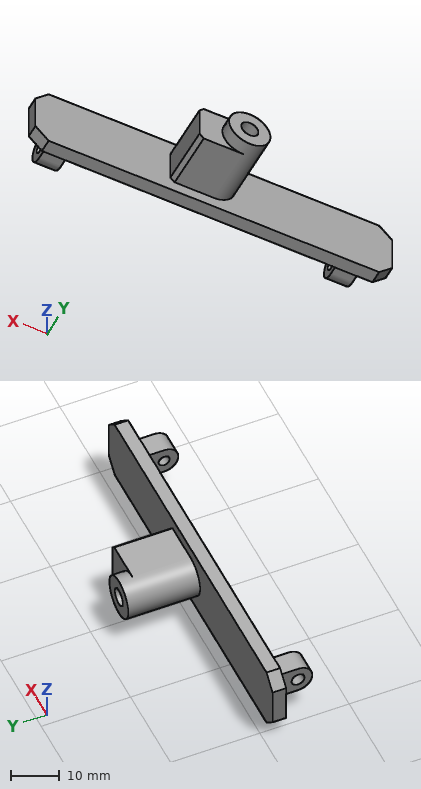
import cadquery as cq

plate_length = 82.0
plate_height = 15.0
plate_thickness = 3.0
corner_chamfer = 3.0

boss_diameter = 9.5
boss_length = 16.1
bore_diameter = 3.9
block_reach = 10.0
block_length = 13.0
block_chamfer = 1.0

overall_depth = 27.2
lug_width = 5.0
lug_height = 6.4
lug_edge_gap = 5.0
left_pin_diameter = 2.9
right_pin_diameter = 2.5

lug_projection = overall_depth - plate_thickness - boss_length
lug_radius = lug_height / 2
pin_y = -plate_thickness - lug_projection + lug_radius
lug_center_x = plate_length / 2 - lug_edge_gap - lug_width / 2


def make_plate():
    plate = cq.Workplane("XY").box(
        plate_length, plate_thickness, plate_height, centered=(True, False, True)
    )
    plate = plate.translate((0, -plate_thickness, 0))
    return plate.edges("|Y").chamfer(corner_chamfer)


def make_boss():
    return cq.Workplane("XZ").circle(boss_diameter / 2).extrude(-boss_length)


def make_block():
    block = cq.Workplane("XY").box(
        block_reach, block_length, boss_diameter, centered=(False, False, True)
    )
    return block.edges("|Y and >X").chamfer(block_chamfer)


def make_lug(center_x, pin_diameter):
    lug = (
        cq.Workplane("YZ")
        .moveTo(-plate_thickness, -lug_radius)
        .lineTo(pin_y, -lug_radius)
        .threePointArc((pin_y - lug_radius, 0), (pin_y, lug_radius))
        .lineTo(-plate_thickness, lug_radius)
        .close()
        .moveTo(pin_y, 0)
        .circle(pin_diameter / 2)
        .extrude(lug_width / 2, both=True)
    )
    return lug.translate((center_x, 0, 0))


def make_bore():
    bore = cq.Workplane("XZ", origin=(0, -plate_thickness, 0))
    return bore.circle(bore_diameter / 2).extrude(-(plate_thickness + boss_length))


body = make_plate().union(make_boss()).union(make_block())
body = body.union(make_lug(-lug_center_x, left_pin_diameter))
body = body.union(make_lug(lug_center_x, right_pin_diameter))
result = body.cut(make_bore())